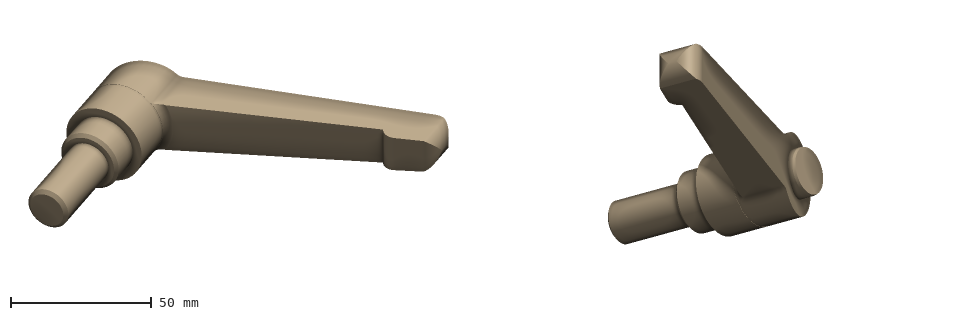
import cadquery as cq
import math


HUB_RADIUS = 15.1
SEAM_HEIGHT = 16.3
RING_HEIGHT = 1.0
RING_RADIUS = 15.0
COLLAR_RADIUS = 11.5
COLLAR_LENGTH = 12.0
COLLAR_CHAMFER = 1.2
STUD_RADIUS = 8.0
STUD_LENGTH = 32.0
STUD_CHAMFER_LENGTH = 1.2
STUD_CHAMFER_DEPTH = 1.4
SCREW_RADIUS = 9.0
SCREW_TOP = 38.5
SCREW_CHAMFER_LENGTH = 1.1
SCREW_CHAMFER_DEPTH = 0.3

TOP_HEIGHT_AT_AXIS = 33.04
TOP_SLOPE = math.tan(math.radians(16.0))
TIP_X = 108.0
TIP_TOP_FILLET = 6.0
TIP_BOTTOM_FILLET = 6.9
STEP_X = 88.4
STEP_Y = 44.9
GRIP_ANGLE = math.radians(20.0)
BUMP_RADIUS = 4.5
BUMP_LOWEST_Y = 42.2

HALF_WIDTH_AT_AXIS = 10.4
SIDE_TAPER = math.tan(math.radians(2.0))
TIP_ROUND_X = 104.0
SIDE_FILLET = 4.0

ROOT_FILLET = 2.7
ROOT_HALF_WIDTH = 12.0
ROOT_RADIUS = HUB_RADIUS + ROOT_FILLET
ROOT_TOP = SEAM_HEIGHT + ROOT_FILLET

TALL = 60.0


def cylinder(radius, start, end):
    """Cylinder about the Y axis between two heights."""
    return cq.Workplane("XZ", origin=(0, start, 0)).circle(radius).extrude(start - end)


def half_width(x):
    return HALF_WIDTH_AT_AXIS - SIDE_TAPER * x


def top_height(x):
    return TOP_HEIGHT_AT_AXIS + TOP_SLOPE * x


def make_turned_parts():
    """Lower hub, recessed ring, collar, stud and screw head as one turned profile."""
    stud_end = -COLLAR_LENGTH - STUD_LENGTH
    ring_start = SEAM_HEIGHT - RING_HEIGHT
    profile = [
        (0, stud_end),
        (STUD_RADIUS - STUD_CHAMFER_DEPTH, stud_end),
        (STUD_RADIUS, stud_end + STUD_CHAMFER_LENGTH),
        (STUD_RADIUS, -COLLAR_LENGTH),
        (COLLAR_RADIUS - COLLAR_CHAMFER, -COLLAR_LENGTH),
        (COLLAR_RADIUS, -COLLAR_LENGTH + COLLAR_CHAMFER),
        (COLLAR_RADIUS, 0),
        (HUB_RADIUS, 0),
        (HUB_RADIUS, ring_start),
        (RING_RADIUS, ring_start),
        (RING_RADIUS, SEAM_HEIGHT),
        (SCREW_RADIUS, SEAM_HEIGHT),
        (SCREW_RADIUS, SCREW_TOP - SCREW_CHAMFER_LENGTH),
        (SCREW_RADIUS - SCREW_CHAMFER_DEPTH, SCREW_TOP),
        (0, SCREW_TOP),
    ]
    return cq.Workplane("XY").polyline(profile).close().revolve(360, (0, 0, 0), (0, 1, 0))


def make_plan_body():
    """Round hub with the tapered lever blended into it, as a tall straight prism."""
    tip_width = half_width(TIP_ROUND_X)
    root_width = half_width(0)
    arm = (
        cq.Workplane("XZ", origin=(0, SEAM_HEIGHT, 0))
        .moveTo(0, -root_width)
        .lineTo(TIP_ROUND_X, -tip_width)
        .threePointArc((TIP_X, 0), (TIP_ROUND_X, tip_width))
        .lineTo(0, root_width)
        .close()
        .extrude(-TALL)
    )
    body = cylinder(HUB_RADIUS, SEAM_HEIGHT, SEAM_HEIGHT + TALL).union(arm)
    corner_box = cq.selectors.BoxSelector(
        (0, SEAM_HEIGHT, -HUB_RADIUS), (HUB_RADIUS, SEAM_HEIGHT + TALL, HUB_RADIUS)
    )
    return body.edges("|Y").edges(corner_box).fillet(SIDE_FILLET)


def make_side_slab():
    """Side outline of hub and lever, extruded across the full width."""
    bump_center_y = BUMP_LOWEST_Y + BUMP_RADIUS
    bump_center_x = STEP_X + math.sqrt(BUMP_RADIUS**2 - (bump_center_y - STEP_Y) ** 2)
    bump_end_x = bump_center_x + BUMP_RADIUS * math.sin(GRIP_ANGLE)
    bump_end_y = bump_center_y - BUMP_RADIUS * math.cos(GRIP_ANGLE)
    tip_bottom_y = bump_end_y + (TIP_X - bump_end_x) * math.tan(GRIP_ANGLE)
    slab = (
        cq.Workplane("XY")
        .moveTo(-HUB_RADIUS, SEAM_HEIGHT)
        .lineTo(STEP_X, SEAM_HEIGHT)
        .lineTo(STEP_X, STEP_Y)
        .threePointArc((bump_center_x, BUMP_LOWEST_Y), (bump_end_x, bump_end_y))
        .lineTo(TIP_X, tip_bottom_y)
        .lineTo(TIP_X, top_height(TIP_X))
        .lineTo(-HUB_RADIUS, top_height(-HUB_RADIUS))
        .close()
        .extrude(HUB_RADIUS, both=True)
    )
    slab = slab.edges("|Z").edges(">X").edges(">Y").fillet(TIP_TOP_FILLET)
    return slab.edges("|Z").edges(">X").edges("<Y").fillet(TIP_BOTTOM_FILLET)


def make_underside_clearance():
    """Space below the arm: outside the root fillet, then under a ruled surface that
    runs from an arc around the hub to the straight edge at the grip step."""
    root_end_x = math.sqrt(ROOT_RADIUS**2 - ROOT_HALF_WIDTH**2)
    root_section = (
        cq.Workplane("XZ", origin=(0, ROOT_TOP, 0))
        .moveTo(0, -ROOT_HALF_WIDTH)
        .lineTo(root_end_x, -ROOT_HALF_WIDTH)
        .threePointArc((ROOT_RADIUS, 0), (root_end_x, ROOT_HALF_WIDTH))
        .lineTo(0, ROOT_HALF_WIDTH)
        .close()
    )
    step_section = (
        cq.Workplane("XZ", origin=(0, STEP_Y, 0))
        .moveTo(0, -ROOT_HALF_WIDTH)
        .lineTo(STEP_X, -ROOT_HALF_WIDTH)
        .lineTo(STEP_X, ROOT_HALF_WIDTH)
        .lineTo(0, ROOT_HALF_WIDTH)
        .close()
    )
    arm_core = cq.Solid.makeLoft([root_section.val(), step_section.val()], True)

    diagonal = ROOT_FILLET * math.sqrt(0.5)
    root_flare = (
        cq.Workplane("XY")
        .moveTo(0, SEAM_HEIGHT)
        .lineTo(HUB_RADIUS, SEAM_HEIGHT)
        .threePointArc(
            (ROOT_RADIUS - diagonal, SEAM_HEIGHT + diagonal),
            (ROOT_RADIUS, ROOT_TOP),
        )
        .lineTo(0, ROOT_TOP)
        .close()
        .revolve(360, (0, 0, 0), (0, 1, 0))
    )
    block = (
        cq.Workplane("XY")
        .moveTo(0, SEAM_HEIGHT)
        .lineTo(STEP_X, SEAM_HEIGHT)
        .lineTo(STEP_X, STEP_Y)
        .lineTo(0, STEP_Y)
        .close()
        .extrude(ROOT_HALF_WIDTH, both=True)
    )
    return block.cut(root_flare).cut(cq.Workplane(arm_core))


lever = make_plan_body().intersect(make_side_slab()).cut(make_underside_clearance())
result = make_turned_parts().union(lever)